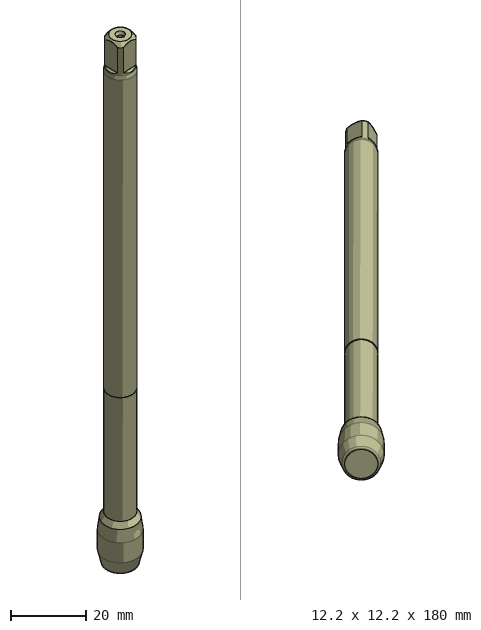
import cadquery as cq

total_length = 180.0

collar_height = 17.5
collar_diameter = 12.2
collar_foot_diameter = 10.0
collar_foot_round = 0.5
collar_shoulder_diameter = 11.2
barrel_bottom = 4.7
barrel_top = 11.5
shoulder_height = 15.7

lower_diameter = 8.8
upper_diameter = 9.0
step_height = 59.5
step_chamfer = 0.2
rod_shoulder_height = 168.0
neck_diameter = 8.5
neck_height = 169.2

drive_width = 7.0
drive_bottom = 169.5
drive_ledge_rise = 0.5
drive_top_diameter = 6.1
drive_top_bevel_height = 1.3

centre_hole_diameter = 1.6
centre_hole_depth = 3.6
countersink_diameter = 2.7
countersink_angle = 60.0


def revolve_profile(points):
    """Revolve a closed (radius, height) outline about the Z axis."""
    return cq.Workplane("XZ").polyline(points).close().revolve(360, (0, 0, 0), (0, 1, 0))


def make_flat_cutter():
    """Cutter for the flat facing -Y, with a ledge that slopes up towards the flat."""
    flat = drive_width / 2
    outside = upper_diameter / 2
    neck_radius = neck_diameter / 2
    slope = drive_ledge_rise / (neck_radius - flat)
    outer_ledge = drive_bottom + drive_ledge_rise - slope * (outside - flat)
    outline = [
        (-flat, drive_bottom + drive_ledge_rise),
        (-outside, outer_ledge),
        (-outside, total_length),
        (-flat, total_length),
    ]
    return cq.Workplane("YZ").polyline(outline).close().extrude(outside, both=True)


def make_rod():
    """Stepped round rod with a square drive end and a centre hole."""
    lower_radius = lower_diameter / 2
    upper_radius = upper_diameter / 2
    neck_radius = neck_diameter / 2
    rod = revolve_profile([
        (0, 0),
        (lower_radius, 0),
        (lower_radius, step_height),
        (upper_radius, step_height + step_chamfer),
        (upper_radius, rod_shoulder_height),
        (neck_radius, neck_height),
        (neck_radius, total_length - drive_top_bevel_height),
        (drive_top_diameter / 2, total_length),
        (0, total_length),
    ])

    flat_cutter = make_flat_cutter()
    for angle in (0, 90, 180, 270):
        rod = rod.cut(flat_cutter.rotate((0, 0, 0), (0, 0, 1), angle))

    return rod.faces(">Z").workplane().cskHole(
        centre_hole_diameter, countersink_diameter, countersink_angle, centre_hole_depth
    )


def make_collar():
    """Barrel-shaped collar with a through bore that holds the rod's lower end."""
    bore_radius = lower_diameter / 2
    collar = revolve_profile([
        (bore_radius, 0),
        (collar_foot_diameter / 2, 0),
        (collar_diameter / 2, barrel_bottom),
        (collar_diameter / 2, barrel_top),
        (collar_shoulder_diameter / 2, shoulder_height),
        (bore_radius, collar_height),
    ])
    foot_edge = cq.selectors.RadiusNthSelector(-1)
    return collar.faces("<Z").edges(foot_edge).fillet(collar_foot_round)


rod = make_rod()
collar = make_collar()
result = cq.Compound.makeCompound([rod.val(), collar.val()])